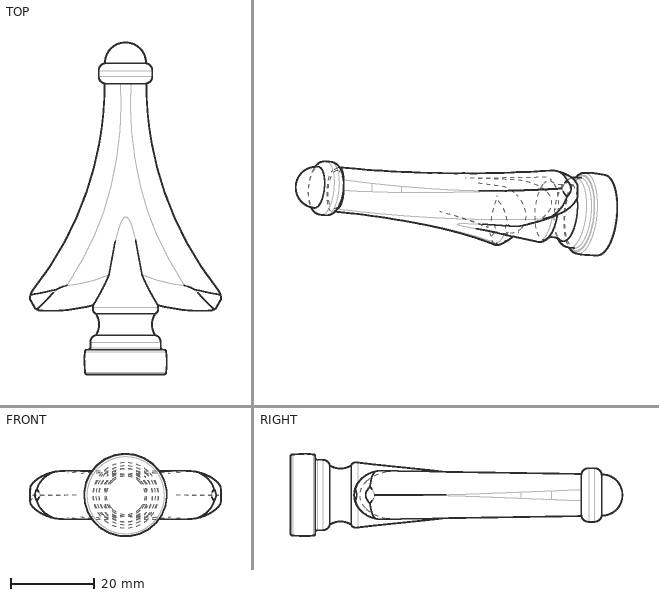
import math

import cadquery as cq

TOTAL_LENGTH = 80.0

BASE_HEIGHT = 6.0
BASE_RADIUS = 10.0
BASE_END_RADIUS = 9.8
BASE_EDGE_ROUND = 0.5

COLLAR_RADIUS = 17.0 / 2
COLLAR_FOOT_ROUND = 0.5
COLLAR_STRAIGHT_END = 7.8
NECK_START = 9.5
NECK_END = 14.6
NECK_END_RADIUS = 7.15
NECK_RADIUS = 6.4
BEAD_RADIUS = 7.85
BEAD_TOP = 16.2

CONE_TOP = 46.0
CONE_TOP_RADIUS = 4.77

DOME_RADIUS = 5.0
DOME_START = TOTAL_LENGTH - DOME_RADIUS
RING_HEIGHT = 5.0
RING_START = DOME_START - RING_HEIGHT
RING_RADIUS = 13.0 / 2
RING_ROUND = 1.85

STEM_HALF_WIDTH = 5.05
FLANK_RADIUS = 80.0
BLADE_BOTTOM = 12.0
SECTION_COUNT = 9

STEM_HALF_THICKNESS = 5.1
FOOT_HALF_THICKNESS = 5.95
STEM_ROUND = 3.8
EDGE_FLAT_END = 36.0
EDGE_FLAT_MINIMUM = 0.06

FOOT_Y = 15.3
FOOT_LOWEST_X = 18.0
FOOT_ARC_RADIUS = 39.0
FOOT_ROUND_LENGTH = 7.2

TIP_ROUND = 3.1
MITRE_START = (14.2, 21.4)
MITRE_ANGLE = -29.0
MITRE_LENGTH = 9.3


def blend(start, end, fraction):
    """Value that runs linearly from start to end."""
    return start + (end - start) * fraction


def point_on_arc(center, radius, degrees):
    """Point on a circle at an angle measured from the first axis."""
    angle = math.radians(degrees)
    return (center[0] + radius * math.cos(angle), center[1] + radius * math.sin(angle))


def flank_angle(y):
    """Angle between the flank and the Y axis at height y."""
    return math.asin(max(0.0, RING_START - y) / FLANK_RADIUS)


def flank_half_width(y):
    """Half width of the blade at height y."""
    return STEM_HALF_WIDTH + FLANK_RADIUS * (1 - math.cos(flank_angle(y)))


def turned_base():
    """Base disc, collar, neck, bead and cone as one revolved profile."""
    disc_shoulder = BASE_HEIGHT - BASE_EDGE_ROUND
    rim_center_radius = BASE_END_RADIUS - BASE_EDGE_ROUND
    lower_rim_mid = point_on_arc((rim_center_radius, BASE_EDGE_ROUND), BASE_EDGE_ROUND, -45)
    upper_rim_mid = point_on_arc((rim_center_radius, disc_shoulder), BASE_EDGE_ROUND, 45)
    foot_center = (COLLAR_RADIUS + COLLAR_FOOT_ROUND, BASE_HEIGHT + COLLAR_FOOT_ROUND)
    foot_mid = point_on_arc(foot_center, COLLAR_FOOT_ROUND, 225)
    profile = (
        cq.Workplane("XY")
        .lineTo(rim_center_radius, 0)
        .threePointArc(lower_rim_mid, (BASE_END_RADIUS, BASE_EDGE_ROUND))
        .threePointArc((BASE_RADIUS, BASE_HEIGHT / 2), (BASE_END_RADIUS, disc_shoulder))
        .threePointArc(upper_rim_mid, (rim_center_radius, BASE_HEIGHT))
        .lineTo(foot_center[0], BASE_HEIGHT)
        .threePointArc(foot_mid, (COLLAR_RADIUS, foot_center[1]))
        .lineTo(COLLAR_RADIUS, COLLAR_STRAIGHT_END)
        .tangentArcPoint((NECK_END_RADIUS, NECK_START), relative=False)
        .threePointArc((NECK_RADIUS, (NECK_START + NECK_END) / 2), (NECK_END_RADIUS, NECK_END))
        .threePointArc((BEAD_RADIUS, (NECK_END + BEAD_TOP) / 2), (BEAD_RADIUS, BEAD_TOP))
        .lineTo(CONE_TOP_RADIUS, CONE_TOP)
        .lineTo(0, CONE_TOP)
        .close()
    )
    return profile.revolve(360, (0, 0), (0, 1))


def turned_tip():
    """Ring with rounded rims, topped by a hemispherical dome."""
    ring = cq.Workplane("XZ", origin=(0, RING_START, 0)).circle(RING_RADIUS).extrude(-RING_HEIGHT)
    ring = ring.edges().fillet(RING_ROUND)
    dome = cq.Workplane("XY").sphere(DOME_RADIUS).translate((0, DOME_START, 0))
    return ring.union(dome)


def quarter_ellipse(center, half_x, half_z, start, y):
    """Quarter of an ellipse in the plane at height y, starting at the angle start."""
    points = []
    for degrees in (start, start + 45, start + 90):
        angle = math.radians(degrees)
        x = center[0] + half_x * math.cos(angle)
        z = center[1] + half_z * math.sin(angle)
        points.append(cq.Vector(x, y, z))
    tangents = []
    for degrees in (start, start + 90):
        angle = math.radians(degrees)
        tangents.append(cq.Vector(-half_x * math.sin(angle), 0, half_z * math.cos(angle)))
    return cq.Edge.makeSpline(points, tangents=tangents)


def blade_section(y):
    """Closed cross-section of the blade: flats joined by four elliptical corners."""
    fraction = (RING_START - y) / (RING_START - FOOT_Y)
    half_thickness = blend(STEM_HALF_THICKNESS, FOOT_HALF_THICKNESS, fraction)
    flat_fraction = (RING_START - y) / (RING_START - EDGE_FLAT_END)
    edge_flat = max(EDGE_FLAT_MINIMUM, blend(STEM_HALF_THICKNESS - STEM_ROUND, 0, flat_fraction))
    round_z = half_thickness - edge_flat
    round_x = round_z / math.cos(flank_angle(y))
    face_flat = flank_half_width(y) - round_x
    corners = ((1, 1), (-1, 1), (-1, -1), (1, -1))
    arcs = []
    for index, (side_x, side_z) in enumerate(corners):
        center = (side_x * face_flat, side_z * edge_flat)
        arcs.append(quarter_ellipse(center, round_x, round_z, 90 * index, y))
    edges = []
    for index, arc in enumerate(arcs):
        following = arcs[(index + 1) % len(arcs)]
        edges.append(arc)
        edges.append(cq.Edge.makeLine(arc.endPoint(), following.startPoint()))
    return cq.Wire.assembleEdges(edges)


def flank_loft():
    """Blade with rounded flanks, still running past the foot of the wings."""
    sections = []
    for index in range(SECTION_COUNT):
        y = blend(BLADE_BOTTOM, RING_START, index / (SECTION_COUNT - 1))
        sections.append(blade_section(y))
    return cq.Workplane(obj=cq.Solid.makeLoft(sections))


def foot_disc():
    """Disc with an elliptical rim whose lowest stretch forms the lower edge of the +X wing."""
    flat_radius = FOOT_ARC_RADIUS - FOOT_ROUND_LENGTH
    rim = (
        cq.Workplane("XZ")
        .moveTo(0, -FOOT_HALF_THICKNESS)
        .lineTo(flat_radius, -FOOT_HALF_THICKNESS)
        .ellipseArc(FOOT_ROUND_LENGTH, FOOT_HALF_THICKNESS, -90, 90, startAtCurrent=True)
        .lineTo(0, FOOT_HALF_THICKNESS)
        .close()
    )
    disc = rim.revolve(360, (0, 0), (0, 1))
    return disc.translate((FOOT_LOWEST_X, FOOT_Y + FOOT_ARC_RADIUS, 0))


def wing_plan():
    """Plan outline of the +X half of the blade as a plate, with the wing tip rounded."""
    tip_x = flank_half_width(FOOT_Y)
    middle_y = (RING_START + FOOT_Y) / 2
    plate = (
        cq.Workplane("XY", origin=(0, 0, -BASE_RADIUS))
        .moveTo(0, FOOT_Y)
        .lineTo(tip_x, FOOT_Y)
        .threePointArc((flank_half_width(middle_y), middle_y), (STEM_HALF_WIDTH, RING_START))
        .lineTo(0, RING_START)
        .close()
        .extrude(2 * BASE_RADIUS)
    )
    return plate.edges("|Z").edges(">X").fillet(TIP_ROUND)


def mitre_cylinder():
    """Elliptical cylinder across the wing whose outer half bevels the mitre of the tip."""
    profile = (
        cq.Workplane("XZ", origin=(0, -TOTAL_LENGTH / 2, 0))
        .moveTo(-TOTAL_LENGTH, -FOOT_HALF_THICKNESS)
        .lineTo(0, -FOOT_HALF_THICKNESS)
        .ellipseArc(MITRE_LENGTH, FOOT_HALF_THICKNESS, -90, 90, startAtCurrent=True)
        .lineTo(-TOTAL_LENGTH, FOOT_HALF_THICKNESS)
        .close()
    )
    cylinder = profile.extrude(-2 * TOTAL_LENGTH)
    cylinder = cylinder.rotate((0, 0, 0), (0, 0, 1), MITRE_ANGLE)
    return cylinder.translate((MITRE_START[0], MITRE_START[1], 0))


def blade():
    """Both wings: the +X half and its mirror image."""
    wing = flank_loft()
    for envelope in (foot_disc(), wing_plan(), mitre_cylinder()):
        wing = wing.intersect(envelope)
    return wing.union(wing.mirror("YZ"))


result = blade().union(turned_base()).union(turned_tip())